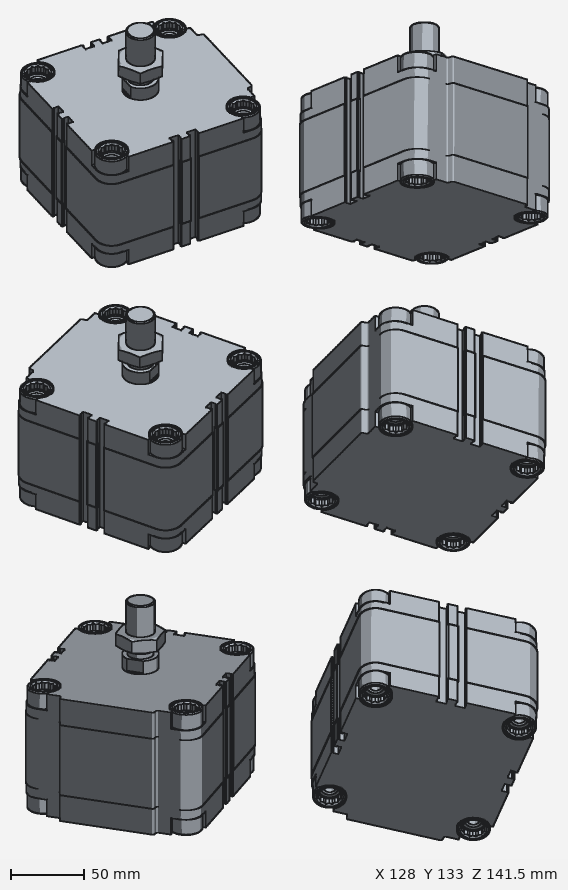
import cadquery as cq
import math


barrel_width = 128.0
cap_inset = 0.5
cap_width = barrel_width - 2 * cap_inset
housing_height = 91.5
cap_height = 19.5
barrel_height = housing_height - 2 * cap_height
screw_offset = 51.5

rail_height = 5.0
rail_top_width = 68.2
rail_base_width = 69.6
rail_fillet = 1.3

slot_inner = 3.3
slot_outer = 10.2
slot_depth = 5.5
slot_lip = 2.0
slot_mouth_outer = 9.5
slot_edge_chamfer = 0.5
rib_face_half_width = 3.3
cap_rib_half_width = 3.7
barrel_rib_half_width = 4.2

head_diameter = 23.0
head_height = 12.3
head_chamfer = 1.0
pocket_reach = 6.5

socket_rim_diameter = 18.4
socket_cone_diameter = 15.4
socket_cone_depth = 1.4
socket_points_diameter = 16.5
socket_points_depth = 6.4
socket_depth = 7.9
countersink_diameter = 11.5
bore_diameter = 8.3
countersink_depth = 0.8

collar_diameter = 25.0
collar_height = 9.9
collar_flats = 22.1
flats_bottom = 1.0
neck_diameter = 18.1
neck_height = 3.5
thread_diameter = 20.0
thread_chamfer = (thread_diameter - neck_diameter) / 2
rod_top = 141.5

nut_bottom = 108.4
nut_height = 9.9
nut_flats = 30.0
nut_face_diameter = 29.5
nut_chamfer_angle = 15.0

cap_bottoms = (0, housing_height - cap_height)


def block(width, bottom, height):
    """Square block with rounded vertical edges and the rail on its +Y side."""
    side = width / 2
    rail_face = barrel_width / 2
    rail_top = side + rail_height
    body = (
        cq.Workplane("XY", origin=(-side, -side, bottom))
        .rect(width, side + rail_face, centered=False)
        .extrude(height)
        .edges("|Z")
        .fillet(side - screw_offset)
    )
    rail = (
        cq.Workplane("XY", origin=(0, 0, bottom))
        .moveTo(-rail_base_width / 2, rail_face)
        .lineTo(-rail_top_width / 2, rail_top)
        .lineTo(rail_top_width / 2, rail_top)
        .lineTo(rail_base_width / 2, rail_face)
        .close()
        .extrude(height)
    )
    rail_edges = cq.selectors.BoxSelector(
        (-rail_base_width, rail_face - rail_fillet, bottom),
        (rail_base_width, rail_top + rail_fillet, bottom + height),
    )
    return body.union(rail).edges("|Z").edges(rail_edges).fillet(rail_fillet)


def slot_pair(width, bottom, height, rib_half_width):
    """Two mirrored slots in the -Y side of a block, undercut at 45 degrees next to the rib."""
    face = -width / 2
    mouth = face + slot_edge_chamfer
    lip = -barrel_width / 2 + slot_lip
    floor = -barrel_width / 2 + slot_depth
    slot = (
        cq.Workplane("XY", origin=(0, 0, bottom))
        .moveTo(rib_face_half_width, face)
        .lineTo(rib_half_width, mouth)
        .lineTo(rib_half_width, lip)
        .lineTo(slot_inner, lip + rib_half_width - slot_inner)
        .lineTo(slot_inner, floor)
        .lineTo(slot_outer, floor)
        .lineTo(slot_outer, lip)
        .lineTo(slot_mouth_outer, lip)
        .lineTo(slot_mouth_outer, mouth)
        .lineTo(slot_mouth_outer + slot_edge_chamfer, face)
        .close()
        .extrude(height)
    )
    return slot.union(slot.mirror("YZ"))


def slotted_block(width, bottom, height, rib_half_width):
    """Block with a pair of slots in each side but the one with the rail."""
    body = block(width, bottom, height)
    slots = slot_pair(width, bottom, height, rib_half_width)
    for side_turn in (-90, 0, 90):
        body = body.cut(slots.rotate((0, 0, 0), (0, 0, 1), side_turn))
    return body


def head_clearance():
    """Material to remove around one screw head, with the head face at Z = 0 and the corner at +X, +Y."""
    reach = 2 * head_diameter
    head = cq.Workplane("XY").circle(head_diameter / 2).extrude(-head_height)
    pocket = (
        cq.Workplane("XY", origin=(-pocket_reach, -pocket_reach, 0))
        .rect(reach, reach, centered=False)
        .extrude(-head_height)
        .cut(head)
    )
    rim = (
        cq.Workplane("XZ")
        .moveTo(head_diameter / 2 - head_chamfer, 0)
        .lineTo(head_diameter / 2, 0)
        .lineTo(head_diameter / 2, -head_chamfer)
        .close()
        .revolve(360, (0, 0, 0), (0, 1, 0))
    )
    return pocket.union(rim)


def screw_socket():
    """Twelve-point socket between a rim cone and a round floor recess, with the head face at Z = 0."""
    cone_bottom = -socket_cone_depth
    floor = -socket_depth
    rim_cone = (
        cq.Workplane("XZ")
        .lineTo(socket_rim_diameter / 2, 0)
        .lineTo(socket_cone_diameter / 2, cone_bottom)
        .lineTo(0, cone_bottom)
        .close()
        .revolve(360, (0, 0, 0), (0, 1, 0))
    )
    floor_recess = (
        cq.Workplane("XZ")
        .moveTo(0, -socket_points_depth)
        .lineTo(socket_points_diameter / 2, -socket_points_depth)
        .lineTo(socket_points_diameter / 2, floor)
        .lineTo(countersink_diameter / 2, floor)
        .lineTo(bore_diameter / 2, floor - countersink_depth)
        .lineTo(0, floor - countersink_depth)
        .close()
        .revolve(360, (0, 0, 0), (0, 1, 0))
    )
    cutter = rim_cone.union(floor_recess)
    for turn in (0, 30):
        hexagon = cq.Workplane("XY").polygon(6, socket_points_diameter).extrude(-socket_points_depth)
        cutter = cutter.union(hexagon.rotate((0, 0, 0), (0, 0, 1), turn))
    return cutter


def make_housing():
    body = slotted_block(barrel_width, cap_height, barrel_height, barrel_rib_half_width)
    for bottom in cap_bottoms:
        body = body.union(slotted_block(cap_width, bottom, cap_height, cap_rib_half_width))

    top_cutter = head_clearance().union(screw_socket()).translate((screw_offset, screw_offset, housing_height))
    bottom_cutter = top_cutter.mirror("XY", (0, 0, housing_height / 2))
    bore = (
        cq.Workplane("XY")
        .center(screw_offset, screw_offset)
        .circle(bore_diameter / 2)
        .extrude(housing_height)
    )
    for corner_turn in (0, 90, 180, 270):
        for cutter in (top_cutter, bottom_cutter, bore):
            body = body.cut(cutter.rotate((0, 0, 0), (0, 0, 1), corner_turn))
    return body


def make_rod():
    collar_top = housing_height + collar_height
    neck_top = collar_top + neck_height
    collar_radius = collar_diameter / 2
    neck_radius = neck_diameter / 2
    thread_radius = thread_diameter / 2
    rod = (
        cq.Workplane("XZ")
        .moveTo(0, housing_height)
        .lineTo(collar_radius, housing_height)
        .lineTo(collar_radius, collar_top)
        .lineTo(neck_radius, collar_top)
        .lineTo(neck_radius, neck_top)
        .lineTo(thread_radius, neck_top + thread_chamfer)
        .lineTo(thread_radius, rod_top - thread_chamfer)
        .lineTo(thread_radius - thread_chamfer, rod_top)
        .lineTo(0, rod_top)
        .close()
        .revolve(360, (0, 0, 0), (0, 1, 0))
    )
    outside_flats = (
        cq.Workplane("XY", origin=(0, 0, housing_height + flats_bottom))
        .rect(2 * collar_diameter, 2 * collar_diameter)
        .rect(2 * collar_diameter, collar_flats)
        .extrude(collar_height - flats_bottom)
    )
    return rod.cut(outside_flats)


def make_nut():
    corner_diameter = nut_flats / math.cos(math.radians(30))
    face_radius = nut_face_diameter / 2
    corner_drop = (corner_diameter / 2 - face_radius) * math.tan(math.radians(nut_chamfer_angle))
    hexagon = (
        cq.Workplane("XY", origin=(0, 0, nut_bottom))
        .polygon(6, corner_diameter)
        .circle(thread_diameter / 2)
        .extrude(nut_height)
        .rotate((0, 0, 0), (0, 0, 1), 30)
    )
    envelope = (
        cq.Workplane("XZ")
        .moveTo(0, nut_bottom)
        .lineTo(face_radius, nut_bottom)
        .lineTo(corner_diameter / 2, nut_bottom + corner_drop)
        .lineTo(corner_diameter / 2, nut_bottom + nut_height - corner_drop)
        .lineTo(face_radius, nut_bottom + nut_height)
        .lineTo(0, nut_bottom + nut_height)
        .close()
        .revolve(360, (0, 0, 0), (0, 1, 0))
    )
    return hexagon.intersect(envelope)


housing = make_housing()
rod = make_rod()
nut = make_nut()

result = cq.Compound.makeCompound([housing.val(), rod.val(), nut.val()])